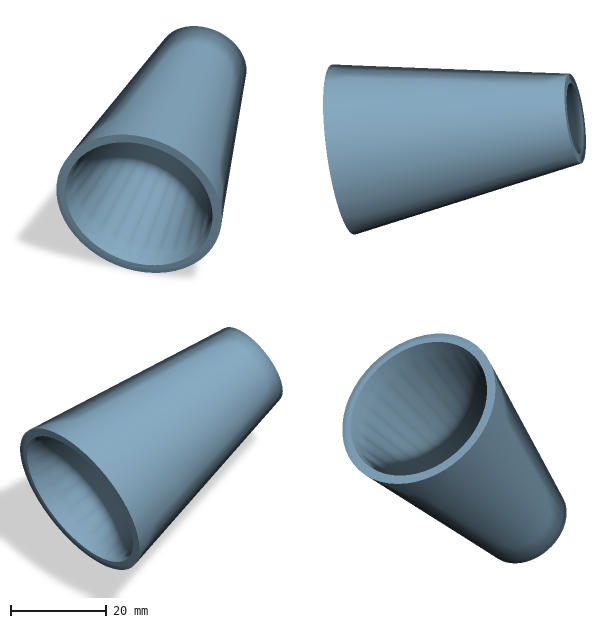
import cadquery as cq

length = 50.0
wide_diameter = 36.0
narrow_diameter = 19.0
wall = 2.0

wide_radius = wide_diameter / 2
narrow_radius = narrow_diameter / 2

wall_section = [
    (wide_radius - wall, 0),
    (wide_radius, 0),
    (narrow_radius, length),
    (narrow_radius - wall, length),
]

result = (
    cq.Workplane("XY")
    .polyline(wall_section)
    .close()
    .revolve(360, (0, 0, 0), (0, 1, 0))
)